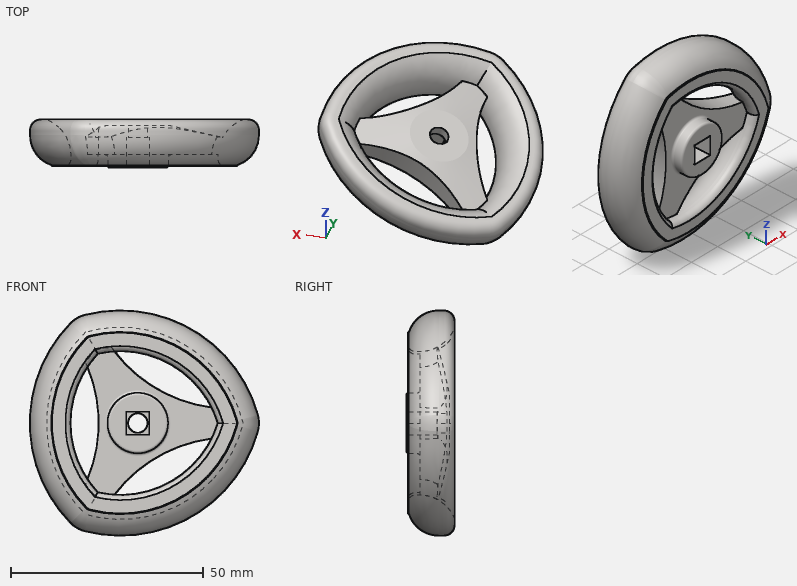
import math

import cadquery as cq

SIDES = 3
SIDE_ANGLE = 360 / SIDES
ARC_CENTRE_OFFSET = 9.0

OUTER_RADIUS = 37.1
CORNER_RADIUS = 8.0
RIM_DEPTH = 12.2
BACK_ROUND = 2.9
WALL_END_DEPTH = 4.15
FRONT_CURVE_RADIUS = 8.2
FRONT_CURVE_INSET = 5.6
EDGE_BEVEL = 0.2

OPENING_RADIUS = 26.45
MOUTH_CURVE_RADIUS = 2.0
MOUTH_DEPTH = 1.9
BAND_WIDTH = 1.0
FLARE_RADIUS = 10.0

SPOKE_FRONT = 9.15
SPOKE_REACH = 23.5
SPOKE_TIP_BACK = 5.0
RIM_OVERLAP = 1.2
WINDOW_RADIUS = 38.0
WINDOW_CLEARANCE = 10.2

HUB_FRONT = 12.63
HUB_BACK = 1.5
HUB_DIAMETER = 15.75
HUB_ROUND = 0.7
BORE_DIAMETER = 5.0
SQUARE_SIDE = 6.0
SQUARE_DEPTH = 8.0


def polar(radius, degrees):
    angle = math.radians(degrees)
    return radius * math.cos(angle), radius * math.sin(angle)


def side_middle(side):
    """Direction, in degrees, of the middle of a side."""
    return (side + 0.5) * SIDE_ANGLE


def arc_centre(side):
    return polar(-ARC_CENTRE_OFFSET, side_middle(side))


def arc_inset(radius, run):
    """How far an arc has left its tangent after running this far along the tangent."""
    return radius - math.sqrt(radius**2 - run**2)


def arc_run(radius, inset):
    """How far an arc has run along its tangent once it has left it by this much."""
    return math.sqrt(radius**2 - (radius - inset) ** 2)


def corner_distance(radius):
    """Distance from the wheel axis to the point where two side arcs of this radius meet."""
    along, across = polar(ARC_CENTRE_OFFSET, SIDE_ANGLE / 2)
    return math.sqrt(radius**2 - across**2) - along


def rounded_triangle(radius, back, front):
    """Prism with three arc sides and sharp corners, between two depths."""
    corner = corner_distance(radius)
    outline = cq.Workplane("XZ", origin=(0, -back, 0)).moveTo(corner, 0)
    for side in range(SIDES):
        middle = polar(radius - ARC_CENTRE_OFFSET, side_middle(side))
        outline = outline.threePointArc(middle, polar(corner, (side + 1) * SIDE_ANGLE))
    return outline.close().extrude(front - back)


def rim_section(wall):
    """Rim cross-section from a rotation axis parallel to Y out to the wall radius."""
    bulge_x, bulge_y = polar(BACK_ROUND, 45)
    round_start = wall - BACK_ROUND
    half_inset = FRONT_CURVE_INSET / 2
    curve_mid_depth = WALL_END_DEPTH + arc_run(FRONT_CURVE_RADIUS, half_inset)
    curve_end = wall - FRONT_CURVE_INSET
    curve_end_depth = WALL_END_DEPTH + arc_run(FRONT_CURVE_RADIUS, FRONT_CURVE_INSET)
    return (
        cq.Workplane("XY")
        .lineTo(round_start, 0)
        .threePointArc((round_start + bulge_x, bulge_y - BACK_ROUND), (wall, -BACK_ROUND))
        .lineTo(wall, -WALL_END_DEPTH)
        .threePointArc((wall - half_inset, -curve_mid_depth), (curve_end, -curve_end_depth))
        .lineTo(curve_end - EDGE_BEVEL, -RIM_DEPTH)
        .lineTo(0, -RIM_DEPTH)
        .close()
    )


def rim_sector(wall, centre, middle_direction, span):
    """Rim section turned through the span, about a Y-parallel axis through the centre."""
    sector = rim_section(wall).revolve(span, (0, 0, 0), (0, -1, 0))
    sector = sector.rotate((0, 0, 0), (0, -1, 0), middle_direction - span / 2)
    return sector.translate((centre[0], 0, centre[1]))


def make_rim_blank():
    """Filled rim: a core between the corner centres, wrapped by side and corner sectors."""
    core_radius = OUTER_RADIUS - CORNER_RADIUS
    core_corner = corner_distance(core_radius)
    across = polar(ARC_CENTRE_OFFSET, SIDE_ANGLE / 2)[1]
    corner_span = 2 * math.degrees(math.asin(across / core_radius))
    side_span = SIDE_ANGLE - corner_span

    blank = rounded_triangle(core_radius, 0, RIM_DEPTH)
    for side in range(SIDES):
        blank = blank.union(rim_sector(OUTER_RADIUS, arc_centre(side), side_middle(side), side_span))
    for side in range(SIDES):
        direction = side * SIDE_ANGLE
        corner_centre = polar(core_corner, direction)
        blank = blank.union(rim_sector(CORNER_RADIUS, corner_centre, direction, corner_span))
    return blank


def make_opening():
    """Volume common to three turned cutters, one about each arc centre."""
    band_front = RIM_DEPTH - MOUTH_DEPTH
    band_back = band_front - BAND_WIDTH
    flare_middle = OPENING_RADIUS + arc_inset(FLARE_RADIUS, band_back / 2)
    flare_end = OPENING_RADIUS + arc_inset(FLARE_RADIUS, band_back)
    mouth_middle = OPENING_RADIUS + arc_inset(MOUTH_CURVE_RADIUS, MOUTH_DEPTH / 2)
    mouth_end = OPENING_RADIUS + arc_inset(MOUTH_CURVE_RADIUS, MOUTH_DEPTH)
    section = (
        cq.Workplane("XY")
        .lineTo(flare_end, 0)
        .threePointArc((flare_middle, -band_back / 2), (OPENING_RADIUS, -band_back))
        .lineTo(OPENING_RADIUS, -band_front)
        .threePointArc((mouth_middle, -band_front - MOUTH_DEPTH / 2), (mouth_end, -RIM_DEPTH))
        .lineTo(0, -RIM_DEPTH)
        .close()
    )
    cutter = section.revolve(360, (0, 0, 0), (0, 1, 0))
    opening = rounded_triangle(flare_end, 0, RIM_DEPTH)
    for side in range(SIDES):
        x, z = arc_centre(side)
        opening = opening.intersect(cutter.translate((x, 0, z)))
    return opening


def make_spokes():
    """Plate with a conical back, trimmed to the rim and cut by one round window per side."""
    section = (
        cq.Workplane("XY")
        .moveTo(0, -SPOKE_FRONT)
        .lineTo(SPOKE_REACH, -SPOKE_FRONT)
        .lineTo(SPOKE_REACH, -SPOKE_TIP_BACK)
        .lineTo(HUB_DIAMETER / 2, -HUB_BACK)
        .lineTo(0, -HUB_BACK)
        .close()
    )
    plate = section.revolve(360, (0, 0, 0), (0, 1, 0))
    plate = plate.intersect(rounded_triangle(OPENING_RADIUS + RIM_OVERLAP, HUB_BACK, SPOKE_FRONT))
    for side in range(SIDES):
        centre = polar(WINDOW_CLEARANCE + WINDOW_RADIUS, side_middle(side))
        window = cq.Workplane("XZ").center(*centre).circle(WINDOW_RADIUS).extrude(RIM_DEPTH)
        plate = plate.cut(window)
    return plate


def add_hub(spokes):
    """Round hub with a rounded front edge and a filleted foot on the spokes."""
    hub = cq.Workplane("XZ", origin=(0, -HUB_BACK, 0)).circle(HUB_DIAMETER / 2).extrude(HUB_FRONT - HUB_BACK)
    hub = hub.faces("<Y").edges().fillet(HUB_ROUND)
    body = spokes.union(hub)
    reach = HUB_DIAMETER / 2 + HUB_ROUND
    foot_zone = cq.selectors.BoxSelector(
        (-reach, -SPOKE_FRONT - HUB_ROUND / 2, -reach),
        (reach, -SPOKE_FRONT + HUB_ROUND / 2, reach),
        boundingbox=True,
    )
    return body.edges(foot_zone).fillet(HUB_ROUND)


def make_shaft_hole():
    """Through bore that widens to a square socket at the front."""
    bore = cq.Workplane("XZ").circle(BORE_DIAMETER / 2).extrude(HUB_FRONT)
    socket_floor = cq.Workplane("XZ", origin=(0, SQUARE_DEPTH - HUB_FRONT, 0))
    socket = socket_floor.rect(SQUARE_SIDE, SQUARE_SIDE).extrude(SQUARE_DEPTH)
    return bore.union(socket)


rim = make_rim_blank().cut(make_opening())
centre_piece = add_hub(make_spokes())
result = rim.union(centre_piece).cut(make_shaft_hole())